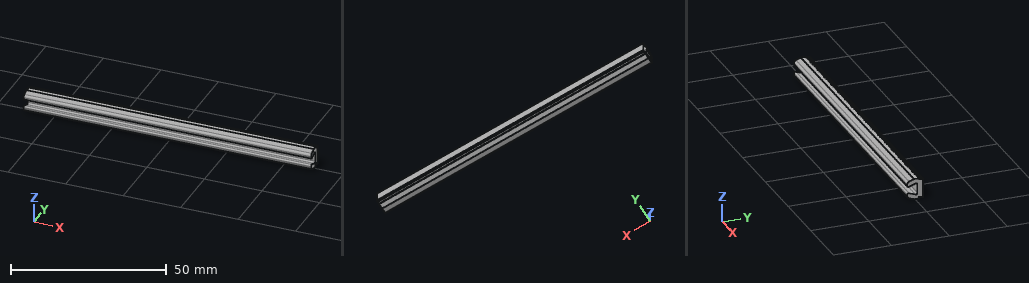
import cadquery as cq
import math

length = 100.0
depth = 5.5
height = 7.2

ledge_drop = 0.42
bead_width = 0.6
bead_rise = 0.12
crown_back_y = 1.4
crown_front_y = -0.4
web_front_y = 0.8
mouth_corner_z = 0.9
arm_angle = 20.0
tip_outer_radius = 1.0
tip_inner_radius = 0.5
cavity_radius = 0.5

back_y = depth / 2
front_y = -depth / 2
crown_z = height / 2
ledge_z = crown_z - ledge_drop
bead_front_y = back_y - bead_width
bead_peak = (back_y - bead_width / 2, ledge_z + bead_rise)

arm_slope = math.tan(math.radians(arm_angle))
tip_z = crown_z - arm_slope * (crown_front_y - front_y)
cavity_z = mouth_corner_z + arm_slope * (web_front_y - front_y)


def make_bar():
    """Extrude the sharp-cornered channel section, centred on the origin."""
    section = (
        cq.Workplane("YZ")
        .moveTo(back_y, -ledge_z)
        .lineTo(back_y, ledge_z)
        .threePointArc(bead_peak, (bead_front_y, ledge_z))
        .lineTo(crown_back_y, ledge_z)
        .lineTo(crown_back_y, crown_z)
        .lineTo(crown_front_y, crown_z)
        .lineTo(front_y, tip_z)
        .lineTo(front_y, mouth_corner_z)
        .lineTo(web_front_y, cavity_z)
        .lineTo(web_front_y, -cavity_z)
        .lineTo(front_y, -mouth_corner_z)
        .lineTo(front_y, -tip_z)
        .lineTo(crown_front_y, -crown_z)
        .lineTo(crown_back_y, -crown_z)
        .lineTo(crown_back_y, -ledge_z)
        .lineTo(bead_front_y, -ledge_z)
        .threePointArc((bead_peak[0], -bead_peak[1]), (back_y, -ledge_z))
        .close()
    )
    return section.extrude(length / 2, both=True)


def round_edge_pair(body, y, z, radius):
    """Round the lengthwise edge at (y, z) and its mirror image at (y, -z)."""
    edges = body.edges(cq.selectors.NearestToPointSelector((0, y, z)))
    edges = edges.add(body.edges(cq.selectors.NearestToPointSelector((0, y, -z))))
    return edges.fillet(radius)


result = make_bar()
result = round_edge_pair(result, front_y, tip_z, tip_outer_radius)
result = round_edge_pair(result, front_y, mouth_corner_z, tip_inner_radius)
result = round_edge_pair(result, web_front_y, cavity_z, cavity_radius)